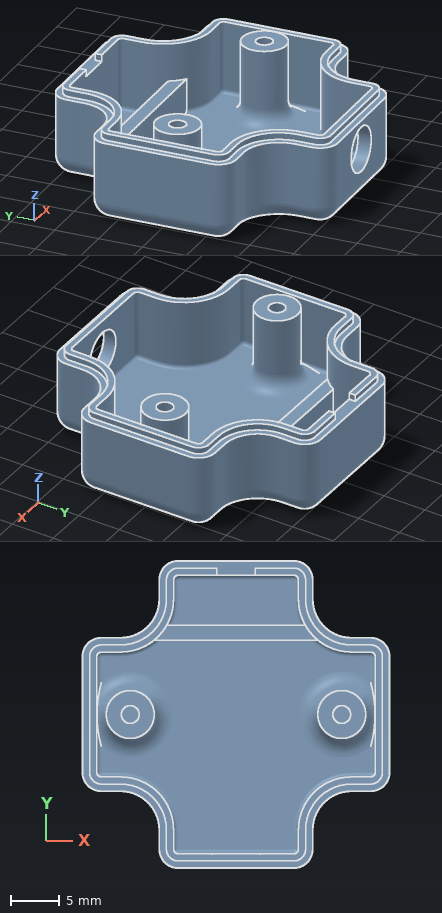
import cadquery as cq
import math

length = 32.0
arm_width = length / 2
inner_corner_radius = arm_width / 4
outer_corner_radius = inner_corner_radius / 2
bottom_edge_radius = outer_corner_radius

wall = 1.5
floor_thickness = wall
lip_inset = wall / 2
rim_height = 9.0
lip_height = 9.75
post_height = 10.25
floor_edge_radius = 0.48

post_diameter = 5.0
post_flare_radius = 2.0
post_offset = 11.0
screw_hole_diameter = 1.85
screw_hole_bottom = floor_thickness

rib_front = 7.75
rib_thickness = 1.55
rib_height = 5.47

cable_hole_diameter = 5.1
cable_hole_height = 5.7

notch_width = 3.97


def cross_prism(inset, bottom, top):
    """Upright prism on the cross outline, moved inwards by inset."""
    end = length / 2 - inset
    side = arm_width / 2 - inset
    convex = outer_corner_radius - inset
    concave = inner_corner_radius + inset
    concave_start = arm_width / 2 + inner_corner_radius
    concave_middle = concave_start - concave * math.sqrt(0.5)
    convex_middle = convex * (1 - math.sqrt(0.5))

    def turned(x, y, quarter):
        for _ in range(quarter):
            x, y = -y, x
        return x, y

    outline = cq.Workplane("XY", origin=(0, 0, bottom)).moveTo(end, convex - side)
    for quarter in range(4):
        outline = (
            outline.lineTo(*turned(end, side - convex, quarter))
            .threePointArc(
                turned(end - convex_middle, side - convex_middle, quarter),
                turned(end - convex, side, quarter),
            )
            .lineTo(*turned(concave_start, side, quarter))
            .threePointArc(
                turned(concave_middle, concave_middle, quarter),
                turned(side, concave_start, quarter),
            )
            .lineTo(*turned(side, end - convex, quarter))
            .threePointArc(
                turned(side - convex_middle, end - convex_middle, quarter),
                turned(side - convex, end, quarter),
            )
        )
    return outline.close().extrude(top - bottom)


def flared_post(x):
    """Round post with a concave flare where it meets the floor."""
    radius = post_diameter / 2
    flare_top = floor_thickness + post_flare_radius
    flare_middle = post_flare_radius * (1 - math.sqrt(0.5))
    root = floor_thickness / 2
    profile = (
        cq.Workplane("XZ")
        .moveTo(0, root)
        .lineTo(radius + post_flare_radius, root)
        .lineTo(radius + post_flare_radius, floor_thickness)
        .threePointArc(
            (radius + flare_middle, floor_thickness + flare_middle),
            (radius, flare_top),
        )
        .lineTo(radius, post_height)
        .lineTo(0, post_height)
        .close()
    )
    return profile.revolve(360, (0, 0, 0), (0, 1, 0)).translate((x, 0, 0))


body = cross_prism(0, 0, rim_height).faces("<Z").edges().fillet(bottom_edge_radius)
outside = body.union(cross_prism(lip_inset, rim_height, lip_height))

cavity = cross_prism(wall, floor_thickness, lip_height)
cavity = cavity.faces("<Z").edges().fillet(floor_edge_radius)
result = outside.cut(cavity)

rib = (
    cq.Workplane("XY", origin=(0, rib_front + rib_thickness / 2, floor_thickness / 2))
    .box(length, rib_thickness, rib_height - floor_thickness / 2, centered=(True, True, False))
)
result = result.union(rib.intersect(body))

for x in (-post_offset, post_offset):
    screw_hole = (
        cq.Workplane("XY", origin=(x, 0, screw_hole_bottom))
        .circle(screw_hole_diameter / 2)
        .extrude(post_height - screw_hole_bottom)
    )
    result = result.union(flared_post(x)).cut(screw_hole)

cable_hole = (
    cq.Workplane("XZ", origin=(0, -arm_width / 2, cable_hole_height))
    .circle(cable_hole_diameter / 2)
    .extrude(arm_width)
)
result = result.cut(cable_hole)

notch = (
    cq.Workplane("XY", origin=(0, length / 2 - wall / 2, rim_height))
    .box(notch_width, wall, lip_height - rim_height, centered=(True, True, False))
)
result = result.cut(notch)